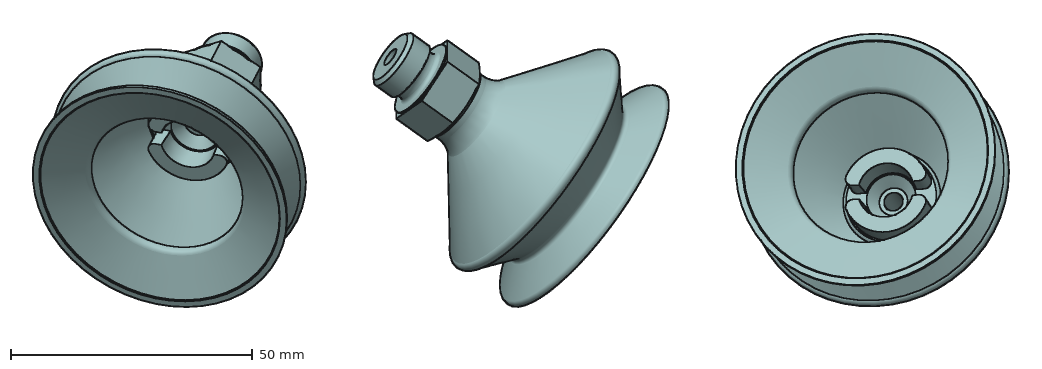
import cadquery as cq
import math

total_length = 52.0

cup_radius = 27.5
lip_edge_width = 0.4
lip_round_radius, lip_round_y = 27.35, 0.95
lip_root_radius, lip_root_y = 26.85, 1.3
groove_radius, groove_y = 19.45, 5.45
groove_front_radius, groove_front_y = 20.15, 4.55
groove_back_radius, groove_back_y = 19.85, 6.2
bead_side_radius = 26.7
bead_front_y, bead_back_y = 12.5, 14.8
bead_y = (bead_front_y + bead_back_y) / 2
shoulder_radius, shoulder_y = 9.5, 29.15
neck_radius = 16.0 / 2
neck_blend_y = 32.95
neck_mid_radius, neck_mid_y = 8.4, 30.95
neck_end_y = 34.4

mouth_radius = 52.2 / 2
mouth_step = 0.2
throat_radius, throat_y = 16.45, 5.15
throat_front_radius, throat_front_y = 17.25, 3.95
throat_back_radius, throat_back_y = 16.9, 6.4
inner_bead_radius, inner_bead_y = 24.4, 13.95
inner_bead_side_radius = 23.85
inner_bead_front_y, inner_bead_back_y = 13.2, 14.8
inner_neck_radius, inner_neck_y = 10.35, 25.75
floor_radius = 9.55
floor_y = 25.1

hex_flats = 17.0
hex_corner_diameter = hex_flats / math.cos(math.pi / 6)
hex_front_y, hex_back_y = 34.9, 43.6
hex_bevel_height = 0.35
hex_bevel_radius = 8.35
washer_back_y = 44.0
washer_fillet_radius = 6.5
undercut_radius = 5.6
undercut_front_radius = 5.65
undercut_front_y, undercut_middle_y = 44.75, 45.3
flare_mid_radius, flare_mid_y = 5.95, 44.3
thread_radius = 13.15 / 2
thread_start_y = 46.7
thread_root_radius = 6.05
thread_chamfer = 0.9

bore_radius = 4.0 / 2
funnel_radius = 5.2
funnel_end_radius = 6.0 / 2
funnel_depth = 2.2
pad_inner_radius, pad_outer_radius = 5.9, 9.2
pad_inner_root_radius = 5.55
pad_front_y = 19.8
pad_gap = 3.1
pad_corner_radius = 1.55


def revolve_about_y(profile):
    """Turn a closed (radius, Y) profile around the part axis."""
    return profile.close().revolve(360, (0, 0, 0), (0, 1, 0))


def cylinder(radius, start_y, end_y):
    disc = cq.Workplane("XZ", origin=(0, start_y, 0)).circle(radius)
    return disc.extrude(start_y - end_y)


def bellows_and_thread():
    return revolve_about_y(
        cq.Workplane("XY")
        .moveTo(0, 0)
        .lineTo(cup_radius, 0)
        .lineTo(cup_radius, lip_edge_width)
        .threePointArc((lip_round_radius, lip_round_y), (lip_root_radius, lip_root_y))
        .lineTo(groove_front_radius, groove_front_y)
        .threePointArc((groove_radius, groove_y), (groove_back_radius, groove_back_y))
        .lineTo(bead_side_radius, bead_front_y)
        .threePointArc((cup_radius, bead_y), (bead_side_radius, bead_back_y))
        .lineTo(shoulder_radius, shoulder_y)
        .threePointArc((neck_mid_radius, neck_mid_y), (neck_radius, neck_blend_y))
        .lineTo(neck_radius, neck_end_y)
        .lineTo(hex_bevel_radius, hex_front_y)
        .lineTo(hex_flats / 2, hex_back_y)
        .lineTo(hex_flats / 2, washer_back_y)
        .lineTo(washer_fillet_radius, washer_back_y)
        .threePointArc((flare_mid_radius, flare_mid_y), (undercut_front_radius, undercut_front_y))
        .threePointArc((undercut_radius, undercut_middle_y), (thread_root_radius, thread_start_y))
        .lineTo(thread_radius, thread_start_y)
        .lineTo(thread_radius, total_length - thread_chamfer)
        .lineTo(thread_radius - thread_chamfer, total_length)
        .lineTo(0, total_length)
    )


def hexagon():
    """Hexagon with flats across X and its front corners beveled."""
    prism = (
        cq.Workplane("XZ", origin=(0, hex_front_y, 0))
        .transformed(rotate=(0, 0, 30))
        .polygon(6, hex_corner_diameter)
        .extrude(hex_front_y - hex_back_y)
    )
    corner_radius = hex_corner_diameter / 2
    envelope = revolve_about_y(
        cq.Workplane("XY")
        .moveTo(0, hex_front_y)
        .lineTo(hex_bevel_radius, hex_front_y)
        .lineTo(corner_radius, hex_front_y + hex_bevel_height)
        .lineTo(corner_radius, hex_back_y)
        .lineTo(0, hex_back_y)
    )
    return prism.intersect(envelope)


def cup_cavity():
    return revolve_about_y(
        cq.Workplane("XY")
        .moveTo(0, 0)
        .lineTo(mouth_radius, 0)
        .lineTo(mouth_radius - mouth_step, mouth_step)
        .lineTo(throat_front_radius, throat_front_y)
        .threePointArc((throat_radius, throat_y), (throat_back_radius, throat_back_y))
        .lineTo(inner_bead_side_radius, inner_bead_front_y)
        .threePointArc(
            (inner_bead_radius, inner_bead_y), (inner_bead_side_radius, inner_bead_back_y)
        )
        .lineTo(inner_neck_radius, inner_neck_y)
        .lineTo(floor_radius, floor_y)
        .lineTo(0, floor_y)
    )


def suction_passage():
    funnel = revolve_about_y(
        cq.Workplane("XY")
        .moveTo(0, floor_y)
        .lineTo(funnel_radius, floor_y)
        .lineTo(funnel_end_radius, floor_y + funnel_depth)
        .lineTo(0, floor_y + funnel_depth)
    )
    return funnel.union(cylinder(bore_radius, floor_y, total_length))


def floor_pads():
    """Two curved pads, one either side of a straight gap along X."""
    ring = revolve_about_y(
        cq.Workplane("XY")
        .moveTo(pad_inner_radius, pad_front_y)
        .lineTo(pad_outer_radius, pad_front_y)
        .lineTo(pad_outer_radius, floor_y)
        .lineTo(pad_inner_root_radius, floor_y)
    )
    gap = cq.Workplane("XY").box(2 * cup_radius, 2 * total_length, pad_gap)
    pads = ring.cut(gap)
    middle_y = (pad_front_y + floor_y) / 2
    half_gap = pad_gap / 2
    corner_x = math.sqrt(pad_outer_radius**2 - half_gap**2)
    for side_x in (-corner_x, corner_x):
        for side_z in (-half_gap, half_gap):
            corner = cq.selectors.NearestToPointSelector((side_x, middle_y, side_z))
            pads = pads.edges("|Y").edges(corner).fillet(pad_corner_radius)
    return pads


result = (
    bellows_and_thread()
    .union(hexagon())
    .cut(cup_cavity())
    .cut(suction_passage())
    .union(floor_pads())
)